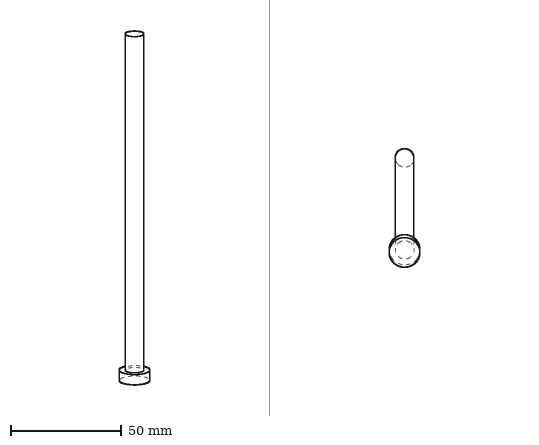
import cadquery as cq

overall_length = 165.0
head_diameter = 14.0
head_height = 5.0
shank_diameter = 8.5

shank_length = overall_length - head_height

head = cq.Workplane("XY").circle(head_diameter / 2).extrude(head_height)
shank = (
    cq.Workplane("XY")
    .workplane(offset=head_height)
    .circle(shank_diameter / 2)
    .extrude(shank_length)
)

result = head.union(shank)